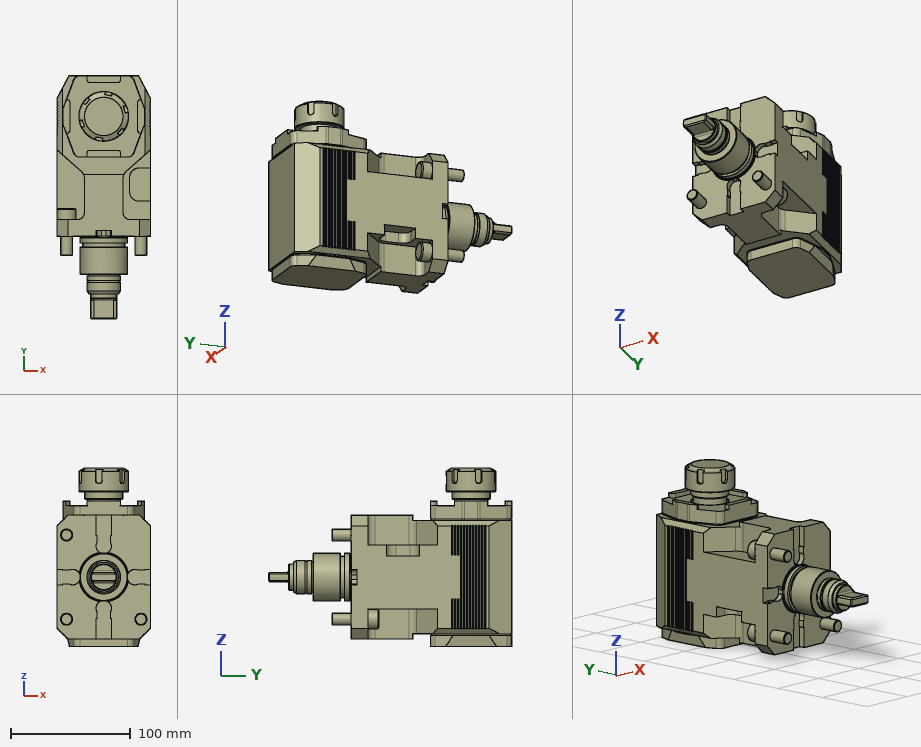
import cadquery as cq


WIDTH = 78.0
OVERALL_LENGTH = 202.8
OVERALL_HEIGHT = 149.03
HALF_WIDTH = WIDTH / 2

BODY_LENGTH = 134.1
BODY_HALF_HEIGHT = 47.4
NECK_HALF_HEIGHT = 51.7
NECK_LENGTH = 51.5
FLANGE_THICKNESS = 14.0
LONG_EDGE_CHAMFER = 9.0
REAR_CHAMFER_X = 10.0
REAR_CHAMFER_Y = 19.0

NECK_HALF_WIDTH = 16.1
POCKET_FLOOR = 26.7
POCKET_OUTER_END = 72.2
POCKET_INNER_END = 52.0
POCKET_REAR_RADIUS = 8.0
POCKET_FRONT_RADIUS = 6.0

RECESS_FLOOR = 17.8
RECESS_START = 29.4
RECESS_END = 57.1
RECESS_INNER_X = 21.5
RECESS_RADIUS = 8.0

GROOVE_WIDTH = 1.3
GROOVE_DEPTH = 0.6
GROOVE_PITCH = 2.5
FIRST_GROOVE_Y = 111.8
LONG_GROOVE_COUNT = 9
SHORT_GROOVE_COUNT = 3
SHORT_GROOVE_END = 18.4

SLOT_DEPTH = 5.0
SLOT_HALF_WIDTH = 6.45
SLOT_WAIST_HALF_WIDTH = 5.8
SLOT_WAIST_END = 34.5
SLOT_END_CENTRE = 26.0

SCREW_X = 31.0
SCREW_Z = 35.1
SCREW_DIAMETER = 10.0
SCREW_HEAD_DIAMETER = 16.0
SCREW_HEAD_LENGTH = 9.3
SCREW_HEAD_CHAMFER = 1.0
SCREW_REACH = 15.9
SCREW_TIP_CHAMFER = 0.6

SPINDLE_Y = 100.1
COVER_HALF_SIZE = BODY_LENGTH - SPINDLE_Y
COVER_END_HALF_WIDTH = 23.9
COVER_SIDE_HALF_LENGTH = 6.6
COVER_CORNER_RADIUS = 6.0
COVER_BASE = 48.5
COVER_JOINT_INSET = 0.8
TOP_COVER_FACE = 59.6
LIP_TOP = 63.4
LIP_LENGTH = 27.7
LIP_WIDTH = 5.7
LIP_CORNER_RADIUS = 2.0
BOTTOM_COVER_FACE = -57.95
BOTTOM_COVER_FACE_HALF_WIDTH = 28.6
BOTTOM_COVER_BASE_HALF_WIDTH = 30.9

NUT_TOP = BOTTOM_COVER_FACE + OVERALL_HEIGHT
NUT_RADIUS = 20.75
NUT_FACE_RADIUS = 16.0
NUT_RIM = 88.0
NUT_CONE_BASE_RADIUS = 20.2
NUT_CONE_BASE = 88.6
NUT_BOTTOM = 71.0
NUT_BOTTOM_CHAMFER = 0.7
COLLAR_RADIUS = 16.0
COLLAR_BOTTOM = 65.5
COLLAR_TAPER_RADIUS = 15.0
COLLAR_TAPER_END = 64.5
SPINDLE_RADIUS = 14.0
SPINDLE_BORE_RADIUS = 16.0
SPINDLE_BORE_CHAMFER = 0.5
NUT_SLOT_COUNT = 6
NUT_SLOT_WIDTH = 5.8
NUT_SLOT_CENTRE_Z = 81.0
NUT_SLOT_FLOOR_RADIUS = 18.0
NUT_SLOT_FIRST_ANGLE = 18.3

SHAFT_RELIEF_RADIUS = 39.5 / 2
SHAFT_BORE_RADIUS = 39.8 / 2
BORE_STEP_RADIUS = 41.5 / 2
BORE_STEP_DEPTH = 0.3
PILOT_RADIUS = 39.9 / 2
PILOT_CHAMFER = 0.5
PILOT_GROOVE_RADIUS = 35.1 / 2
JOURNAL_RADIUS = 14.0
JOURNAL_UNDERCUT_RADIUS = 13.0
JOURNAL_GROOVE_RADIUS = 13.4
JOURNAL_NOSE_RADIUS = 12.3
PILOT_START = 0.9
PILOT_GROOVE_START = 5.5
PILOT_GROOVE_END = 8.6
PILOT_END = 31.7
JOURNAL_START = 32.8
JOURNAL_GROOVE_START = 36.6
JOURNAL_GROOVE_END = 38.5
JOURNAL_NOSE_START = 45.3
JOURNAL_END = 48.1

TANG_RADIUS = 11.0
TANG_ROOT_END = 52.0
TANG_TIP = OVERALL_LENGTH - BODY_LENGTH
TANG_HALF_THICKNESS = 4.0
TANG_ROOT_CHAMFER = 0.6
TANG_FLAT_HALF_WIDTH = 8.2
TANG_BEVEL_DROP = 1.3
TANG_BEVEL_SLOPE = 0.53
TANG_TIP_BEVEL = 0.8
TANG_FILLET = 1.5


def mirrored_x(shape):
    return shape.union(shape.mirror("YZ"))


def mirrored_z(shape):
    return shape.union(shape.mirror("XY"))


def four_quadrants(corners):
    right = corners + [(x, -y) for x, y in reversed(corners)]
    return right + [(-x, y) for x, y in reversed(right)]


def box_between(low, high):
    size = [b - a for a, b in zip(low, high)]
    return cq.Workplane("XY").box(*size, centered=False).translate(low)


def housing_block():
    rear = BODY_LENGTH - REAR_CHAMFER_Y
    rear_half_width = HALF_WIDTH - REAR_CHAMFER_X
    plan = [
        (-HALF_WIDTH, 0),
        (HALF_WIDTH, 0),
        (HALF_WIDTH, rear),
        (rear_half_width, BODY_LENGTH),
        (-rear_half_width, BODY_LENGTH),
        (-HALF_WIDTH, rear),
    ]
    body = cq.Workplane("XY").polyline(plan).close().extrude(BODY_HALF_HEIGHT, both=True)
    neck = cq.Workplane("XY").box(WIDTH, NECK_LENGTH, 2 * NECK_HALF_HEIGHT)
    neck = neck.translate((0, NECK_LENGTH / 2, 0))
    envelope = cq.Workplane("XZ").rect(WIDTH, 2 * NECK_HALF_HEIGHT).extrude(-BODY_LENGTH)
    envelope = envelope.edges("|Y").chamfer(LONG_EDGE_CHAMFER)
    return body.union(neck).intersect(envelope)


def side_pockets():
    outline = [
        (NECK_HALF_WIDTH, FLANGE_THICKNESS),
        (HALF_WIDTH, FLANGE_THICKNESS),
        (HALF_WIDTH, POCKET_OUTER_END),
        (NECK_HALF_WIDTH, POCKET_INNER_END),
    ]
    depth = NECK_HALF_HEIGHT - POCKET_FLOOR
    pocket = cq.Workplane("XY").workplane(offset=POCKET_FLOOR).polyline(outline).close().extrude(depth)
    inner_edges = pocket.edges("|Z").edges("<X")
    pocket = inner_edges.edges("<Y").fillet(POCKET_FRONT_RADIUS)
    rear_point = (NECK_HALF_WIDTH, POCKET_INNER_END, NECK_HALF_HEIGHT)
    pocket = pocket.edges("|Z").edges(cq.NearestToPointSelector(rear_point)).fillet(POCKET_REAR_RADIUS)
    return mirrored_z(mirrored_x(pocket))


def deep_recesses():
    recess = box_between(
        (RECESS_INNER_X, RECESS_START, RECESS_FLOOR),
        (HALF_WIDTH, RECESS_END, POCKET_FLOOR),
    )
    recess = recess.edges("|Z and <X").fillet(RECESS_RADIUS)
    return recess.union(recess.rotate((0, 0, 0), (0, 1, 0), 180))


def grip_grooves():
    grooves = cq.Workplane("XY")
    for index in range(LONG_GROOVE_COUNT + SHORT_GROOVE_COUNT):
        y = FIRST_GROOVE_Y - index * GROOVE_PITCH
        start = 0 if index < LONG_GROOVE_COUNT else SHORT_GROOVE_END
        section = [
            (HALF_WIDTH, y - GROOVE_WIDTH / 2),
            (HALF_WIDTH, y + GROOVE_WIDTH / 2),
            (HALF_WIDTH - GROOVE_DEPTH, y),
        ]
        groove = cq.Workplane("XY").workplane(offset=start).polyline(section).close()
        groove = groove.extrude(BODY_HALF_HEIGHT - start)
        grooves = grooves.add(groove)
    return mirrored_z(mirrored_x(grooves.combine()))


def key_slots():
    reach = NECK_HALF_HEIGHT
    waist_length = SLOT_WAIST_END - SLOT_END_CENTRE
    face = cq.Workplane("XZ")
    end = face.center(0, SLOT_END_CENTRE).circle(SLOT_HALF_WIDTH).extrude(-SLOT_DEPTH)
    waist = face.center(0, SLOT_END_CENTRE + waist_length / 2)
    waist = waist.rect(2 * SLOT_WAIST_HALF_WIDTH, waist_length).extrude(-SLOT_DEPTH)
    mouth = face.center(0, (SLOT_WAIST_END + reach) / 2)
    mouth = mouth.rect(2 * SLOT_HALF_WIDTH, reach - SLOT_WAIST_END).extrude(-SLOT_DEPTH)
    slot = end.union(waist).union(mouth)
    slots = slot
    for quarter in range(1, 4):
        slots = slots.union(slot.rotate((0, 0, 0), (0, 1, 0), 90 * quarter))
    bore_step = face.circle(BORE_STEP_RADIUS).extrude(-BORE_STEP_DEPTH)
    return slots.union(bore_step)


def mounting_screws():
    screws = cq.Workplane("XY")
    for x, z in ((-SCREW_X, SCREW_Z), (-SCREW_X, -SCREW_Z), (SCREW_X, -SCREW_Z)):
        shank = cq.Workplane("XZ").center(x, z).circle(SCREW_DIAMETER / 2).extrude(SCREW_REACH)
        shank = shank.faces("<Y").chamfer(SCREW_TIP_CHAMFER)
        head = cq.Workplane("XZ", origin=(0, FLANGE_THICKNESS, 0)).center(x, z)
        head = head.circle(SCREW_HEAD_DIAMETER / 2).extrude(-SCREW_HEAD_LENGTH)
        head = head.faces(">Y").chamfer(SCREW_HEAD_CHAMFER)
        screws = screws.add(shank).add(head)
    return screws


def cover_prism(low, high, inset=0.0):
    half = COVER_HALF_SIZE - inset
    outline = four_quadrants(
        [(COVER_END_HALF_WIDTH, half), (half, COVER_SIDE_HALF_LENGTH)]
    )
    prism = cq.Workplane("XY").polyline(outline).close().extrude(high - low)
    return prism.edges("|Z").fillet(COVER_CORNER_RADIUS).translate((0, SPINDLE_Y, low))


def cover_lips():
    lip = box_between(
        (-LIP_LENGTH / 2, COVER_HALF_SIZE - LIP_WIDTH, COVER_BASE),
        (LIP_LENGTH / 2, COVER_HALF_SIZE, LIP_TOP),
    )
    lip = lip.edges("|Z and <Y").fillet(LIP_CORNER_RADIUS)
    lips = lip
    for quarter in range(1, 4):
        lips = lips.union(lip.rotate((0, 0, 0), (0, 0, 1), 90 * quarter))
    lips = lips.translate((0, SPINDLE_Y, 0))
    return lips.intersect(cover_prism(COVER_BASE, LIP_TOP))


def top_cover():
    joint = cover_prism(BODY_HALF_HEIGHT, COVER_BASE, COVER_JOINT_INSET)
    plate = cover_prism(COVER_BASE, TOP_COVER_FACE)
    cover = joint.union(plate).union(cover_lips())
    bore = cq.Workplane("XY", origin=(0, SPINDLE_Y, COVER_BASE))
    bore = bore.circle(SPINDLE_BORE_RADIUS - SPINDLE_BORE_CHAMFER).extrude(TOP_COVER_FACE - COVER_BASE)
    bore_mouth = cq.Solid.makeCone(
        SPINDLE_BORE_RADIUS,
        SPINDLE_BORE_RADIUS - SPINDLE_BORE_CHAMFER,
        SPINDLE_BORE_CHAMFER,
        cq.Vector(0, SPINDLE_Y, TOP_COVER_FACE),
        cq.Vector(0, 0, -1),
    )
    return cover.cut(bore).cut(cq.Workplane(bore_mouth))


def bottom_cover():
    joint = cover_prism(-COVER_BASE, -BODY_HALF_HEIGHT, COVER_JOINT_INSET)
    plate = cover_prism(BOTTOM_COVER_FACE, -COVER_BASE)
    section = [
        (-BOTTOM_COVER_BASE_HALF_WIDTH, -COVER_BASE),
        (BOTTOM_COVER_BASE_HALF_WIDTH, -COVER_BASE),
        (BOTTOM_COVER_FACE_HALF_WIDTH, BOTTOM_COVER_FACE),
        (-BOTTOM_COVER_FACE_HALF_WIDTH, BOTTOM_COVER_FACE),
    ]
    wedge = cq.Workplane("XZ").polyline(section).close().extrude(-BODY_LENGTH)
    return joint.union(plate.intersect(wedge))


def collet_nut():
    profile = [
        (0, BODY_HALF_HEIGHT),
        (SPINDLE_RADIUS, BODY_HALF_HEIGHT),
        (SPINDLE_RADIUS, COLLAR_TAPER_END),
        (COLLAR_TAPER_RADIUS, COLLAR_TAPER_END),
        (COLLAR_RADIUS, COLLAR_BOTTOM),
        (COLLAR_RADIUS, NUT_BOTTOM),
        (NUT_RADIUS - NUT_BOTTOM_CHAMFER, NUT_BOTTOM),
        (NUT_RADIUS, NUT_BOTTOM + NUT_BOTTOM_CHAMFER),
        (NUT_RADIUS, NUT_RIM),
        (NUT_CONE_BASE_RADIUS, NUT_CONE_BASE),
        (NUT_FACE_RADIUS, NUT_TOP),
        (0, NUT_TOP),
    ]
    nut = cq.Workplane("XZ").polyline(profile).close().revolve(360, (0, 0, 0), (0, 1, 0))
    slot_depth = NUT_RADIUS - NUT_SLOT_FLOOR_RADIUS
    straight = NUT_TOP - NUT_SLOT_CENTRE_Z
    slot_plane = cq.Workplane("YZ", origin=(NUT_SLOT_FLOOR_RADIUS, 0, 0))
    slot = slot_plane.center(0, NUT_SLOT_CENTRE_Z).circle(NUT_SLOT_WIDTH / 2).extrude(slot_depth)
    channel = slot_plane.center(0, NUT_SLOT_CENTRE_Z + straight / 2)
    slot = slot.union(channel.rect(NUT_SLOT_WIDTH, straight).extrude(slot_depth))
    for index in range(NUT_SLOT_COUNT):
        angle = NUT_SLOT_FIRST_ANGLE + index * 360 / NUT_SLOT_COUNT
        nut = nut.cut(slot.rotate((0, 0, 0), (0, 0, 1), angle))
    return nut.translate((0, SPINDLE_Y, 0))


def drive_shaft():
    pilot_edge = PILOT_RADIUS - PILOT_CHAMFER
    profile = [
        (0, -SLOT_DEPTH),
        (SHAFT_BORE_RADIUS, -SLOT_DEPTH),
        (SHAFT_BORE_RADIUS, -BORE_STEP_DEPTH),
        (SHAFT_RELIEF_RADIUS, -BORE_STEP_DEPTH),
        (SHAFT_RELIEF_RADIUS, PILOT_START),
        (pilot_edge, PILOT_START),
        (PILOT_RADIUS, PILOT_START + PILOT_CHAMFER),
        (PILOT_RADIUS, PILOT_GROOVE_START),
        (PILOT_GROOVE_RADIUS, PILOT_GROOVE_START),
        (PILOT_GROOVE_RADIUS, PILOT_GROOVE_END),
        (pilot_edge, PILOT_GROOVE_END),
        (PILOT_RADIUS, PILOT_GROOVE_END + PILOT_CHAMFER),
        (PILOT_RADIUS, PILOT_END - PILOT_CHAMFER),
        (pilot_edge, PILOT_END),
        (JOURNAL_UNDERCUT_RADIUS, PILOT_END),
        (JOURNAL_UNDERCUT_RADIUS, JOURNAL_START),
        (JOURNAL_RADIUS, JOURNAL_START),
        (JOURNAL_RADIUS, JOURNAL_GROOVE_START),
        (JOURNAL_GROOVE_RADIUS, JOURNAL_GROOVE_START),
        (JOURNAL_GROOVE_RADIUS, JOURNAL_GROOVE_END),
        (JOURNAL_RADIUS, JOURNAL_GROOVE_END),
        (JOURNAL_RADIUS, JOURNAL_NOSE_START),
        (JOURNAL_NOSE_RADIUS, JOURNAL_END),
        (TANG_RADIUS, JOURNAL_END),
        (TANG_RADIUS, TANG_ROOT_END - TANG_ROOT_CHAMFER),
        (TANG_RADIUS - TANG_ROOT_CHAMFER, TANG_ROOT_END),
        (0, TANG_ROOT_END),
    ]
    points = [(radius, -distance) for radius, distance in profile]
    return cq.Workplane("XY").polyline(points).close().revolve(360, (0, 0, 0), (0, 1, 0))


def drive_tang():
    length = TANG_TIP - TANG_ROOT_END
    root = cq.Workplane("XZ", origin=(0, -TANG_ROOT_END, 0))
    round_bar = root.circle(TANG_RADIUS).extrude(length).faces("<Y").chamfer(TANG_TIP_BEVEL)

    edge_z = TANG_HALF_THICKNESS - TANG_BEVEL_SLOPE * (TANG_RADIUS - TANG_FLAT_HALF_WIDTH)
    cross_section = four_quadrants(
        [(TANG_FLAT_HALF_WIDTH, TANG_HALF_THICKNESS), (TANG_RADIUS, edge_z)]
    )
    bar = root.polyline(cross_section).close().extrude(length)

    tip_z = TANG_HALF_THICKNESS - TANG_BEVEL_DROP
    bevel_start = TANG_TIP - TANG_TIP_BEVEL
    side_section = [
        (-TANG_ROOT_END, TANG_HALF_THICKNESS),
        (-bevel_start, TANG_HALF_THICKNESS),
        (-TANG_TIP, tip_z),
        (-TANG_TIP, -tip_z),
        (-bevel_start, -TANG_HALF_THICKNESS),
        (-TANG_ROOT_END, -TANG_HALF_THICKNESS),
    ]
    side_prism = cq.Workplane("YZ").polyline(side_section).close().extrude(TANG_RADIUS, both=True)

    fillet_top = TANG_HALF_THICKNESS + TANG_FILLET
    fillet_end = TANG_ROOT_END + TANG_FILLET
    fillet = (
        cq.Workplane("YZ")
        .moveTo(-TANG_ROOT_END, 0)
        .lineTo(-TANG_ROOT_END, fillet_top)
        .radiusArc((-fillet_end, TANG_HALF_THICKNESS), TANG_FILLET)
        .lineTo(-fillet_end, 0)
        .close()
        .extrude(TANG_RADIUS - TANG_ROOT_CHAMFER, both=True)
    )
    fillet = mirrored_z(fillet)
    return bar.intersect(side_prism).union(fillet).intersect(round_bar)


housing = housing_block()
for cutter in (side_pockets(), deep_recesses(), grip_grooves(), key_slots()):
    housing = housing.cut(cutter)
result = housing.union(top_cover()).union(bottom_cover()).union(collet_nut())
result = result.union(drive_shaft()).union(drive_tang())
for screw_part in mounting_screws().vals():
    result = result.union(cq.Workplane(screw_part))